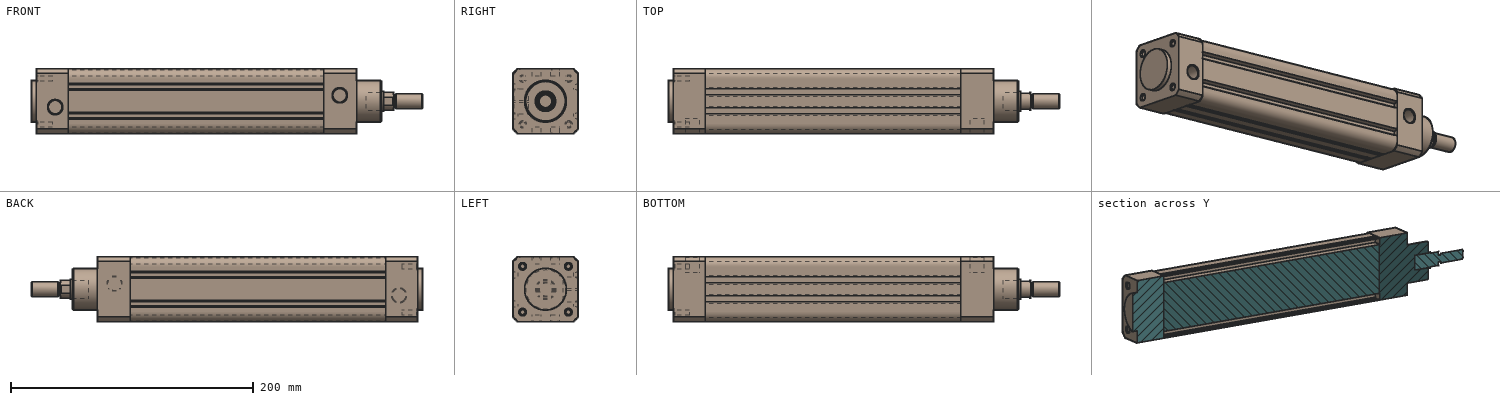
import cadquery as cq

overall_length = 323.0
rear_end = -overall_length / 2
rod_end = overall_length / 2
section = 54.0

rear_boss_length = 4.2
rear_cap_length = 26.2
rear_cap_face = rear_end + rear_boss_length
barrel_start = rear_cap_face + rear_cap_length

barrel_length = 211.0
barrel_end = barrel_start + barrel_length
barrel_corner_radius = 8.0

front_cap_length = 27.0
nose_length = 20.7
front_cap_face = barrel_end + front_cap_length
nose_face = front_cap_face + nose_length

cap_corner_diameter = 70.7
spigot_diameter = 34.5
nose_chamfer = 1.0

port_diameter = 11.3
port_chamfer = 0.5
port_depth = 13.0
port_offset_z = 5.0
rear_port_inset = 15.5
front_port_inset = 13.2
rear_port_x = rear_cap_face + rear_port_inset
front_port_x = barrel_end + front_port_inset

mount_spacing = 37.8
mount_diameter = 4.2
mount_countersink_diameter = 6.0
mount_countersink_angle = 90
mount_depth = 13.0

side_groove_offset = 12.0
side_groove_mouth = 5.8
side_groove_floor = 3.2
side_groove_depth = 4.0

t_slot_offset = 7.8
t_slot_mouth = 5.0
t_slot_lip = 1.0
t_slot_width = 7.5
t_slot_depth = 5.8

rod_diameter = 15.2
shank_length = 10.0
rod_seat_depth = 13.0
collar_diameter = 16.8
collar_length = 2.0
flats_width = 13.5
flats_length = 7.0
shank_end = nose_face + shank_length
neck_diameter = 11.0
neck_length = 1.3
thread_diameter = 12.5
thread_chamfer = 1.0


def cylinder(start, length, diameter):
    """A cylinder on the X axis, from x = start toward +X."""
    return cq.Workplane("YZ", origin=(start, 0, 0)).circle(diameter / 2).extrude(length)


def cap_block(start, length):
    """A square block whose corners are turned to a diameter about the X axis."""
    block = cq.Workplane("YZ", origin=(start, 0, 0)).rect(section, section).extrude(length)
    return block.intersect(cylinder(start, length, cap_corner_diameter))


def cut_port(cap, x, z):
    """Drill a blind air port with a chamfered mouth into the -Y side."""
    mouth = cq.Workplane("XZ", origin=(x, -section / 2, z))
    bore = mouth.circle(port_diameter / 2).extrude(-port_depth)
    chamfer = cq.Workplane(
        cq.Solid.makeCone(
            port_diameter / 2 + port_chamfer,
            port_diameter / 2,
            port_chamfer,
            pnt=cq.Vector(x, -section / 2, z),
            dir=cq.Vector(0, 1, 0),
        )
    )
    return cap.cut(bore).cut(chamfer)


def make_rear_cap():
    """Rear cap with its boss, four mounting holes and an air port."""
    cap = cap_block(rear_cap_face, rear_cap_length)
    boss = cylinder(rear_end, rear_boss_length, spigot_diameter)
    cap = cut_port(cap, rear_port_x, -port_offset_z)
    cap = (
        cap.faces("<X")
        .workplane(origin=(rear_cap_face, 0, 0))
        .rect(mount_spacing, mount_spacing, forConstruction=True)
        .vertices()
        .cskHole(mount_diameter, mount_countersink_diameter, mount_countersink_angle, mount_depth)
    )
    return cap.union(boss)


def make_front_cap(rod):
    """Front cap with its nose, an air port and a matching seat for the rod."""
    nose = cylinder(front_cap_face, nose_length, spigot_diameter).faces(">X").chamfer(nose_chamfer)
    cap = cut_port(cap_block(barrel_end, front_cap_length), front_port_x, port_offset_z)
    return cap.union(nose).cut(rod)


def side_groove(side, z):
    """Cutter for a groove that narrows inward from the -Y (side = -1) or +Y (side = 1) face."""
    mouth_y = side * section / 2
    floor_y = side * (section / 2 - side_groove_depth)
    return (
        cq.Workplane("YZ", origin=(barrel_start, 0, 0))
        .moveTo(mouth_y, z - side_groove_mouth / 2)
        .lineTo(mouth_y, z + side_groove_mouth / 2)
        .lineTo(floor_y, z + side_groove_floor / 2)
        .lineTo(floor_y, z - side_groove_floor / 2)
        .close()
        .extrude(barrel_length)
    )


def t_slot(side, y):
    """Cutter for a T-slot in the -Z (side = -1) or +Z (side = 1) face."""
    cavity_height = t_slot_depth - t_slot_lip
    cavity_z = side * (section / 2 - t_slot_lip - cavity_height / 2)
    mouth_z = side * (section - t_slot_depth) / 2
    mouth_plane = cq.Workplane("YZ", origin=(barrel_start, y, mouth_z))
    cavity_plane = cq.Workplane("YZ", origin=(barrel_start, y, cavity_z))
    mouth = mouth_plane.rect(t_slot_mouth, t_slot_depth).extrude(barrel_length)
    cavity = cavity_plane.rect(t_slot_width, cavity_height).extrude(barrel_length)
    return mouth.union(cavity)


def make_barrel():
    """Grooved barrel between the two caps."""
    barrel = (
        cq.Workplane("YZ", origin=(barrel_start, 0, 0))
        .rect(section, section)
        .extrude(barrel_length)
        .edges("|X")
        .fillet(barrel_corner_radius)
    )
    for side in (-1, 1):
        for direction in (-1, 1):
            barrel = barrel.cut(side_groove(side, direction * side_groove_offset))
            barrel = barrel.cut(t_slot(side, direction * t_slot_offset))
    return barrel


def make_rod():
    """Rod with a collar, two wrench flats, a neck and a plain thread cylinder."""
    shank_start = nose_face - rod_seat_depth
    neck_end = shank_end + neck_length
    flats_start = nose_face + collar_length
    rod = cylinder(shank_start, shank_end - shank_start, rod_diameter)
    for side in (-1, 1):
        center = (flats_start + flats_length / 2, side * (flats_width + rod_diameter) / 2, 0)
        flat_cut = cq.Workplane(origin=center).box(flats_length, rod_diameter, rod_diameter)
        rod = rod.cut(flat_cut)
    collar = cylinder(nose_face, collar_length, collar_diameter)
    neck = cylinder(shank_end, neck_length, neck_diameter)
    thread = cylinder(neck_end, rod_end - neck_end, thread_diameter)
    thread = thread.faces("<X or >X").chamfer(thread_chamfer)
    return rod.union(collar).union(neck).union(thread)


rod = make_rod()
rear_cap = make_rear_cap()
barrel = make_barrel()
front_cap = make_front_cap(rod)

result = cq.Compound.makeCompound([rear_cap.val(), barrel.val(), front_cap.val(), rod.val()])